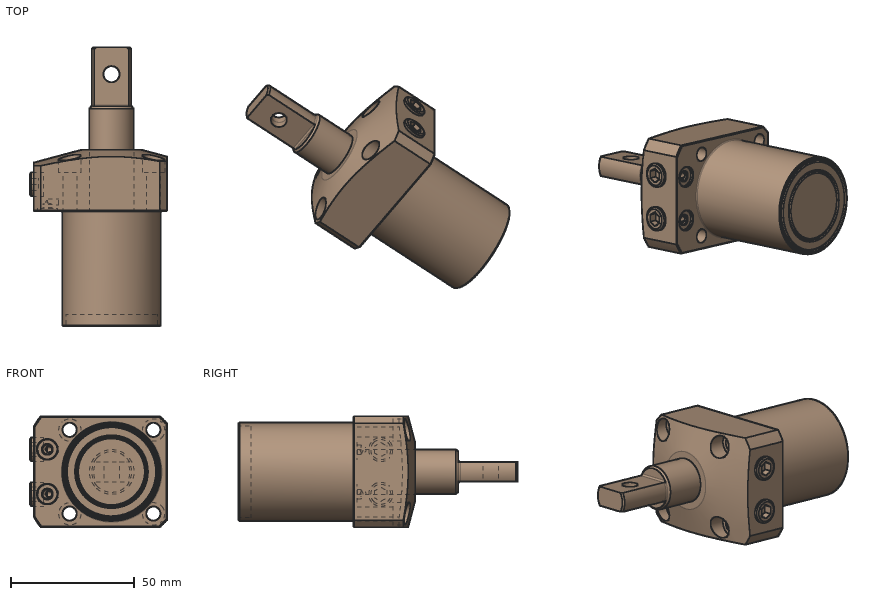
import cadquery as cq
import math


flange_height = 45.0
flange_right = flange_height / 2
flange_left = 31.5
flange_length = 25.0
left_corner_radius = 36.4
right_corner_cut = 2.9
back_chamfer = 0.4
cone_flat_radius = 12.0
cone_angle = math.radians(15)
cone_reach = 45.2

bolt_offset = 17.0
bolt_hole_diameter = 5.6
bolt_head_diameter = 9.0
bolt_seat_y = 15.8

barrel_radius = 20.0
barrel_length = 46.5
barrel_root_fillet = 0.3
barrel_end_chamfer = 0.5
cap_radius = 18.5
cap_thickness = 5.0
cap_mouth_chamfer = 0.6
cap_chamfer = 0.6
cap_groove_inner_radius = 13.5
cap_groove_outer_radius = 14.8
cap_groove_depth = 0.6

port_offset_z = 9.0
port_x = -26.0
port_recess_diameter = 8.0
port_recess_depth = 1.2
port_recess_chamfer = 0.2
port_diameter = 3.8
port_mouth_chamfer = 0.3
port_end_y = 2.9
passage_diameter = 2.5
passage_y = 3.8
passage_length = 4.5
drill_point_angle = math.radians(118)
plug_y = 11.0
plug_diameter = 9.7
plug_protrusion = 1.5
plug_depth = 4.0
plug_chamfer_radial = 0.8
plug_chamfer_axial = 0.5
hex_across_flats = 5.0
hex_depth = 3.4

overall_length = 113.0
rod_tip_y = overall_length - barrel_length
rod_radius = 9.0
rod_seat_y = 0.0
tongue_length = 24.0
shoulder_y = rod_tip_y - tongue_length
shoulder_chamfer_axial = 1.0
tongue_radius = 8.0
tongue_thickness = 8.0
tongue_tip_chamfer = 0.7
tongue_root_fillet = 0.7
shoulder_ledge = 0.2
cross_hole_diameter = 6.4
cross_hole_from_tip = 11.0
cross_hole_y = rod_tip_y - cross_hole_from_tip


def cylinder_y(radius, start_y, end_y, x=0.0, z=0.0):
    """Cylinder along Y from start_y to end_y."""
    plane = cq.Plane(origin=(x, start_y, z), xDir=(1, 0, 0), normal=(0, 1, 0))
    return cq.Workplane(plane).circle(radius).extrude(end_y - start_y)


def revolve_y(profile):
    """Turn a closed XY profile around the rod axis."""
    return profile.close().revolve(360, (0, 0, 0), (0, 1, 0))


def flange_block():
    """Plate with rounded -X corners, cut +X corners and a chamfered back edge."""
    half = flange_height / 2
    side_z = math.sqrt(left_corner_radius**2 - flange_left**2)
    edge_x = -math.sqrt(left_corner_radius**2 - half**2)
    back = cq.Plane(origin=(0, 0, 0), xDir=(1, 0, 0), normal=(0, -1, 0))
    outline = (
        cq.Workplane(back)
        .moveTo(-flange_left, side_z)
        .radiusArc((edge_x, half), left_corner_radius)
        .lineTo(flange_right - right_corner_cut, half)
        .lineTo(flange_right, half - right_corner_cut)
        .lineTo(flange_right, -half + right_corner_cut)
        .lineTo(flange_right - right_corner_cut, -half)
        .lineTo(edge_x, -half)
        .radiusArc((-flange_left, -side_z), left_corner_radius)
        .close()
    )
    return outline.extrude(-flange_length).faces("<Y").chamfer(back_chamfer)


def cone_envelope():
    """Turned shape that gives the flange its conical front face."""
    drop = (cone_reach - cone_flat_radius) * math.tan(cone_angle)
    return revolve_y(
        cq.Workplane("XY")
        .moveTo(0, 0)
        .lineTo(cone_reach, 0)
        .lineTo(cone_reach, flange_length - drop)
        .lineTo(cone_flat_radius, flange_length)
        .lineTo(0, flange_length)
    )


def barrel():
    """Barrel with a fillet where it meets the flange and a chamfered end."""
    root = barrel_root_fillet
    return revolve_y(
        cq.Workplane("XY")
        .moveTo(0, 0)
        .lineTo(barrel_radius + root, 0)
        .radiusArc((barrel_radius, -root), -root)
        .lineTo(barrel_radius, -barrel_length + barrel_end_chamfer)
        .lineTo(barrel_radius - barrel_end_chamfer, -barrel_length)
        .lineTo(0, -barrel_length)
    )


def cap_recess():
    """Recess for the cap, with a chamfered mouth."""
    return revolve_y(
        cq.Workplane("XY")
        .moveTo(0, -barrel_length)
        .lineTo(cap_radius + cap_mouth_chamfer, -barrel_length)
        .lineTo(cap_radius, -barrel_length + cap_mouth_chamfer)
        .lineTo(cap_radius, -barrel_length + cap_thickness)
        .lineTo(0, -barrel_length + cap_thickness)
    )


def bolt_hole(x, z):
    """Through hole with a counterbore from the conical side."""
    hole = cylinder_y(bolt_hole_diameter / 2, 0, flange_length, x, z)
    return hole.union(cylinder_y(bolt_head_diameter / 2, bolt_seat_y, flange_length, x, z))


def drilled_hole(diameter, start, direction, length):
    """Blind hole with a straight bore of the given length and a conical drill point."""
    radius = diameter / 2
    bore = cq.Solid.makeCylinder(radius, length, start, direction)
    point_length = radius / math.tan(drill_point_angle / 2)
    point = cq.Solid.makeCone(radius, 0, point_length, start + direction * length, direction)
    return cq.Workplane(bore).union(cq.Workplane(point))


def chamfered_mouth(diameter, chamfer, y, z):
    """Cone that chamfers the mouth of a hole on the port axis."""
    radius = diameter / 2
    cone = cq.Solid.makeCone(
        radius + chamfer, radius, chamfer, cq.Vector(port_x, y, z), cq.Vector(0, 1, 0)
    )
    return cq.Workplane(cone)


def port(z):
    """Shallow recess, port bore and the cross passage at its end."""
    recess = cylinder_y(port_recess_diameter / 2, 0, port_recess_depth, port_x, z)
    recess_mouth = chamfered_mouth(port_recess_diameter, port_recess_chamfer, 0, z)
    bore = drilled_hole(port_diameter, cq.Vector(port_x, 0, z), cq.Vector(0, 1, 0), port_end_y)
    bore_mouth = chamfered_mouth(port_diameter, port_mouth_chamfer, port_recess_depth, z)
    passage_start = cq.Vector(port_x + passage_length, passage_y, z)
    passage = drilled_hole(passage_diameter, passage_start, cq.Vector(-1, 0, 0), passage_length)
    return recess.union(recess_mouth).union(bore).union(bore_mouth).union(passage)


def plug_seat(z):
    """Round seat in the -X side that holds one plug."""
    side = cq.Plane(origin=(-flange_left, plug_y, z), xDir=(0, 1, 0), normal=(1, 0, 0))
    return cq.Workplane(side).circle(plug_diameter / 2).extrude(plug_depth)


def make_housing():
    body = flange_block().intersect(cone_envelope()).union(barrel())
    body = body.cut(cap_recess())
    body = body.cut(cylinder_y(rod_radius, rod_seat_y, flange_length))
    for x in (-bolt_offset, bolt_offset):
        for z in (-bolt_offset, bolt_offset):
            body = body.cut(bolt_hole(x, z))
    for z in (-port_offset_z, port_offset_z):
        body = body.cut(port(z)).cut(plug_seat(z))
    return body


def make_cap():
    """Disc with a chamfered rim and a narrow groove in its face."""
    face = -barrel_length
    return revolve_y(
        cq.Workplane("XY")
        .moveTo(0, face)
        .lineTo(cap_groove_inner_radius, face)
        .lineTo(cap_groove_inner_radius + cap_groove_depth, face + cap_groove_depth)
        .lineTo(cap_groove_outer_radius - cap_groove_depth, face + cap_groove_depth)
        .lineTo(cap_groove_outer_radius, face)
        .lineTo(cap_radius - cap_chamfer, face)
        .lineTo(cap_radius, face + cap_chamfer)
        .lineTo(cap_radius, face + cap_thickness)
        .lineTo(0, face + cap_thickness)
    )


def make_plug(z):
    """Round plug with a chamfered rim and a hexagon socket whose corners point along Z."""
    outer_face = cq.Plane(
        origin=(-flange_left - plug_protrusion, plug_y, z), xDir=(0, 0, 1), normal=(1, 0, 0)
    )
    hex_corner_diameter = hex_across_flats / math.cos(math.pi / 6)
    body = cq.Workplane(outer_face).circle(plug_diameter / 2).extrude(plug_protrusion + plug_depth)
    body = body.faces("<X").chamfer(plug_chamfer_axial, plug_chamfer_radial)
    socket = cq.Workplane(outer_face).polygon(6, hex_corner_diameter).extrude(hex_depth)
    return body.cut(socket)


def turned_rod():
    """Rod with a chamfered shoulder and a thinner end, filleted at its root."""
    root_arc_radius = (shoulder_ledge**2 + tongue_root_fillet**2) / (2 * shoulder_ledge)
    return revolve_y(
        cq.Workplane("XY")
        .moveTo(0, rod_seat_y)
        .lineTo(rod_radius, rod_seat_y)
        .lineTo(rod_radius, shoulder_y - shoulder_chamfer_axial)
        .lineTo(tongue_radius + shoulder_ledge, shoulder_y)
        .radiusArc((tongue_radius, shoulder_y + tongue_root_fillet), root_arc_radius)
        .lineTo(tongue_radius, rod_tip_y - tongue_tip_chamfer)
        .lineTo(tongue_radius - tongue_tip_chamfer, rod_tip_y)
        .lineTo(0, rod_tip_y)
    )


def tongue_flat(side):
    """Block that cuts one flat of the tongue; its inner lower edge leaves the root fillet."""
    depth = rod_radius
    block = cq.Workplane("XY").box(
        2 * rod_radius, rod_tip_y - shoulder_y, depth, centered=(True, False, True)
    )
    inner_face = "<Z" if side > 0 else ">Z"
    block = block.faces(inner_face).edges("<Y").fillet(tongue_root_fillet)
    return block.translate((0, shoulder_y, side * (tongue_thickness + depth) / 2))


def make_rod():
    body = turned_rod().cut(tongue_flat(1)).cut(tongue_flat(-1))
    cross_hole = (
        cq.Workplane("XY")
        .center(0, cross_hole_y)
        .circle(cross_hole_diameter / 2)
        .extrude(tongue_thickness / 2, both=True)
    )
    return body.cut(cross_hole)


housing = make_housing()
cap = make_cap()
rod = make_rod()
plugs = [make_plug(z) for z in (-port_offset_z, port_offset_z)]

result = cq.Compound.makeCompound(
    [housing.val(), cap.val(), rod.val(), *[plug.val() for plug in plugs]]
)